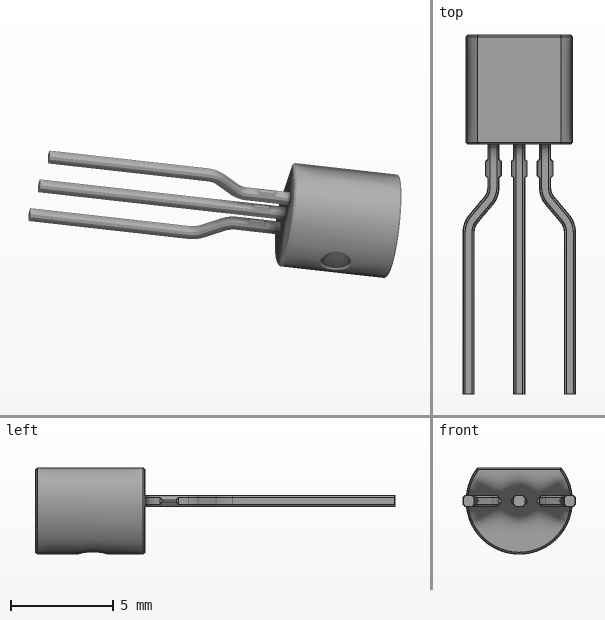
import cadquery as cq
import math

TOTAL_LENGTH = 17.53
BODY_LENGTH = 5.33
BODY_RADIUS = 2.6
FLAT_HEIGHT = 1.61
BODY_CHAMFER = 0.09

MARK_RADIUS = 0.75
MARK_DEPTH = 0.2
MARK_Y = 2.55

LEAD_LENGTH = TOTAL_LENGTH - BODY_LENGTH
LEAD_SIZE = 0.55
LEAD_CHAMFER = 0.1
LEAD_ROOT = 0.35
LEAD_PITCH = 1.26
OUTER_WIDTH = 5.49
LEAD_SPREAD = (OUTER_WIDTH - LEAD_SIZE) / 2 - LEAD_PITCH

BEND_START = 2.12
BEND_RADIUS = 1.0
BEND_ANGLE = math.radians(40)

BULGE_WIDTH = 0.77
BULGE_START = 0.74
BULGE_LENGTH = 0.91
BULGE_SIDE = (BULGE_WIDTH - LEAD_SIZE) / 2


def make_body():
    flat_half_width = math.sqrt(BODY_RADIUS**2 - FLAT_HEIGHT**2)
    body = (
        cq.Workplane("XZ")
        .moveTo(-flat_half_width, FLAT_HEIGHT)
        .threePointArc((0, -BODY_RADIUS), (flat_half_width, FLAT_HEIGHT))
        .close()
        .extrude(-BODY_LENGTH)
        .faces("<Y or >Y")
        .chamfer(BODY_CHAMFER)
    )
    mark = (
        cq.Workplane("XY", origin=(0, MARK_Y, -BODY_RADIUS))
        .circle(MARK_RADIUS)
        .extrude(MARK_DEPTH)
    )
    return body.cut(mark)


def lead_section(x, width):
    """Section with 45 degree corners; a wider one keeps the same flat on top."""
    half_width = width / 2
    half_height = LEAD_SIZE / 2
    flat = half_height - LEAD_CHAMFER
    side = half_height - (half_width - flat)
    points = [
        (flat, half_height),
        (half_width, side),
        (half_width, -side),
        (flat, -half_height),
        (-flat, -half_height),
        (-half_width, -side),
        (-half_width, side),
        (-flat, half_height),
    ]
    return cq.Workplane("XZ", origin=(x, LEAD_ROOT, 0)).polyline(points).close()


def make_bulge(x):
    """Wider stretch of a lead whose ends taper at 45 degrees."""
    start = -BULGE_START
    end = start - BULGE_LENGTH
    half_lead = LEAD_SIZE / 2
    half_bulge = BULGE_WIDTH / 2
    outline = (
        cq.Workplane("XY", origin=(x, 0, -LEAD_SIZE / 2))
        .polyline([
            (-half_lead, start),
            (half_lead, start),
            (half_bulge, start - BULGE_SIDE),
            (half_bulge, end + BULGE_SIDE),
            (half_lead, end),
            (-half_lead, end),
            (-half_bulge, end + BULGE_SIDE),
            (-half_bulge, start - BULGE_SIDE),
        ])
        .close()
        .extrude(LEAD_SIZE)
    )
    return outline.intersect(lead_section(x, BULGE_WIDTH).extrude(LEAD_LENGTH))


def bent_path(side):
    """Centre line of an outer lead: straight, bent outwards, bent back, straight."""
    bend_shift = BEND_RADIUS * (1 - math.cos(BEND_ANGLE))
    bend_run = BEND_RADIUS * math.sin(BEND_ANGLE)
    half_shift = BEND_RADIUS * (1 - math.cos(BEND_ANGLE / 2))
    half_run = BEND_RADIUS * math.sin(BEND_ANGLE / 2)
    slope_run = (LEAD_SPREAD - 2 * bend_shift) / math.tan(BEND_ANGLE)
    bend_end = BEND_START + 2 * bend_run + slope_run

    def at(shift, run):
        return side * (LEAD_PITCH + shift), -run

    return (
        cq.Workplane("XY")
        .moveTo(*at(0, -LEAD_ROOT))
        .lineTo(*at(0, BEND_START))
        .threePointArc(at(half_shift, BEND_START + half_run), at(bend_shift, BEND_START + bend_run))
        .lineTo(*at(LEAD_SPREAD - bend_shift, bend_end - bend_run))
        .threePointArc(at(LEAD_SPREAD - half_shift, bend_end - half_run), at(LEAD_SPREAD, bend_end))
        .lineTo(*at(LEAD_SPREAD, LEAD_LENGTH))
    )


result = make_body()
result = result.union(lead_section(0, LEAD_SIZE).extrude(LEAD_ROOT + LEAD_LENGTH))
result = result.union(make_bulge(0))
for side in (-1, 1):
    lead_x = side * LEAD_PITCH
    result = result.union(lead_section(lead_x, LEAD_SIZE).sweep(bent_path(side)))
    result = result.union(make_bulge(lead_x))